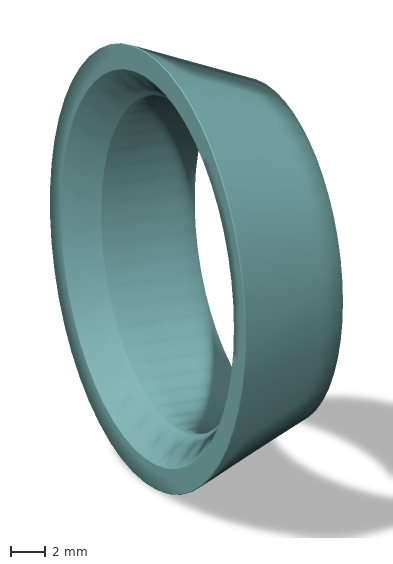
import cadquery as cq
import math

length = 7.8
outer_diameter = 26.6
back_diameter = 20.35
bore_diameter = 20.0
mouth_diameter = 23.55
edge_round = 0.05

outer_radius = outer_diameter / 2
back_radius = back_diameter / 2
bore_radius = bore_diameter / 2
mouth_radius = mouth_diameter / 2
mouth_depth = mouth_radius - bore_radius

rim_angle = math.atan2(length, outer_radius - back_radius)
corner_radius = outer_radius + edge_round * (1 / math.tan(rim_angle / 2) - 1)

front_y = -length / 2
back_y = length / 2

section = (
    cq.Workplane("XY")
    .moveTo(mouth_radius, front_y)
    .lineTo(corner_radius, front_y)
    .lineTo(back_radius, back_y)
    .lineTo(bore_radius, back_y)
    .lineTo(bore_radius, front_y + mouth_depth)
    .close()
)
ring = section.revolve(360, (0, 0, 0), (0, 1, 0))

result = ring.faces("<Y").edges().fillet(edge_round)